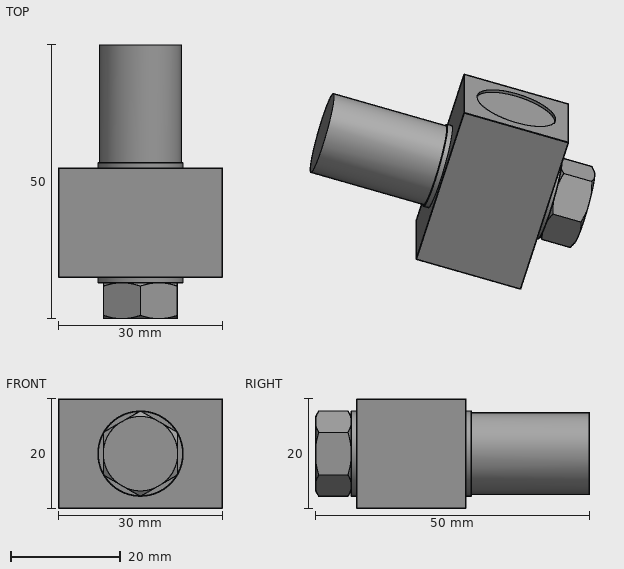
import cadquery as cq
import math

block_width = 30.0
block_depth = 20.0
block_height = 20.0
block_edge = 0.1

recess_diameter = 15.0
recess_depth = 0.5

collar_diameter = 15.6
collar_thickness = 1.0
collar_edge = 0.1

hex_across_flats = 13.5
hex_across_corners = hex_across_flats / math.cos(math.radians(30))
head_height = 6.5
head_chamfer_angle = 30.0
head_face_diameter = 13.6
shaft_diameter = 15.0
shaft_length = 21.5

collar_face = block_depth / 2 + collar_thickness


def make_block():
    block = cq.Workplane("XY").box(block_width, block_depth, block_height)
    block = block.edges().chamfer(block_edge)
    recess = (
        cq.Workplane("YZ", origin=(-block_width / 2, 0, 0))
        .circle(recess_diameter / 2)
        .extrude(recess_depth)
    )
    return block.cut(recess)


def make_collars():
    """One disc through the block, showing as a collar on each side."""
    return (
        cq.Workplane("XZ")
        .circle(collar_diameter / 2)
        .extrude(collar_face, both=True)
        .edges()
        .chamfer(collar_edge)
    )


def make_head():
    """Hexagon with corners up and down, its corners turned off at both ends."""
    front = collar_face + head_height
    blank = (
        cq.Workplane("XZ", origin=(0, -collar_face, 0))
        .polygon(6, hex_across_corners)
        .extrude(head_height)
        .rotate((0, 0, 0), (0, 1, 0), 30)
    )
    face_radius = head_face_diameter / 2
    outer_radius = hex_across_corners / 2
    drop = (outer_radius - face_radius) * math.tan(math.radians(head_chamfer_angle))
    envelope = (
        cq.Workplane("XY")
        .moveTo(0, -collar_face)
        .lineTo(face_radius, -collar_face)
        .lineTo(outer_radius, -collar_face - drop)
        .lineTo(outer_radius, -front + drop)
        .lineTo(face_radius, -front)
        .lineTo(0, -front)
        .close()
        .revolve(360, (0, 0, 0), (0, 1, 0))
    )
    return blank.intersect(envelope)


def make_shaft():
    """Round shaft running back from the middle of the block."""
    return (
        cq.Workplane("XZ")
        .circle(shaft_diameter / 2)
        .extrude(-(collar_face + shaft_length))
    )


result = make_block().union(make_collars()).union(make_head()).union(make_shaft())